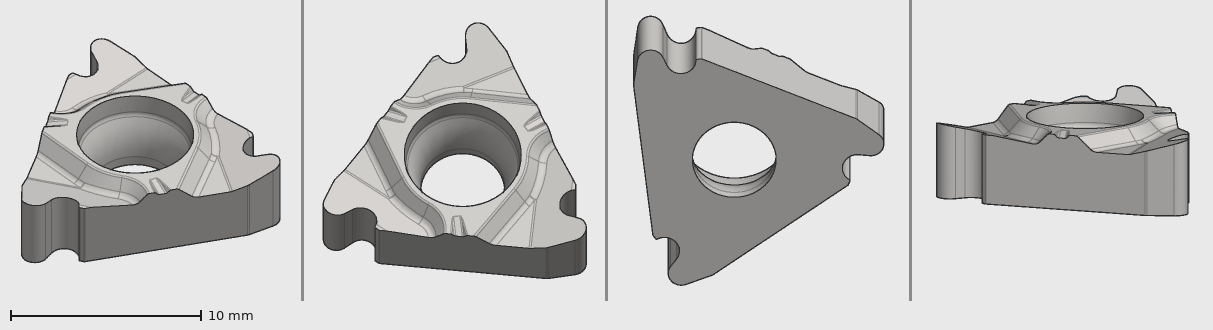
import cadquery as cq
import math

tooth_turns = (0, 120, 240)
height = 4.02
inner_radius = 4.76
reach = 11.13

tip_center = (-3.7, -6.2)
tip_radius = 0.7
flank_angle = 15.0
flank_round = 0.42
notch_center = (-2.11, -6.13)
notch_radius = 0.79
land_y = -6.08
land_round = 0.07
land_clearance = 0.42

floor_z = 3.21
crease_y = -4.03
rake_angle = 15.2
floor_overlap = 0.14
crease_round = 0.42
land_z = 3.71
wall_angle = 44.0
wall_arc_radius = 3.42
wall_arc_start = 239.0
wall_arc_end = 274.5
wall_turn_radius = 1.75
wall_turn_sweep = 80.0
wall_foot_round = 0.45
wall_top_round = 0.17

hole_radius = 4.4 / 2
bore_radius = 3.07
bore_end_radius = 2.98
bore_depth = 1.02
seat_radius = 2.9
seat_depth = 1.28
seat_curve = 3.75

groove_mouth_y = -0.29
groove_angle = 12.0
groove_depth = 0.18
groove_length = 1.11
groove_floor_width = 0.45
groove_top_width = 0.8
groove_floor_round = 0.14
groove_rim_round = 0.1
groove_overrun = 0.28


def polar(center, radius, degrees):
    angle = math.radians(degrees)
    return (center[0] + radius * math.cos(angle), center[1] + radius * math.sin(angle))


def turned(point, degrees):
    return polar((0, 0), math.hypot(*point), math.degrees(math.atan2(point[1], point[0])) + degrees)


def around(solid):
    """The solid and its two turned copies, as a list."""
    return [solid.rotate((0, 0, 0), (0, 0, 1), turn) for turn in tooth_turns]


flank_end = polar(tip_center, tip_radius, 180 + flank_angle)
flank_run = flank_end[0] + inner_radius
flank_start = (-inner_radius, flank_end[1] + flank_run / math.tan(math.radians(flank_angle)))

center_gap = math.dist(tip_center, notch_center)
center_line = math.degrees(math.atan2(notch_center[1] - tip_center[1], notch_center[0] - tip_center[0]))
tip_end_angle = center_line - math.degrees(math.acos((tip_radius + notch_radius) / center_gap))
tip_end = polar(tip_center, tip_radius, tip_end_angle)
tip_middle = polar(tip_center, tip_radius, (tip_end_angle - 180 + flank_angle) / 2)

notch_start_angle = tip_end_angle + 180
notch_end_angle = math.degrees(math.asin((land_y - notch_center[1]) / notch_radius))
notch_start = polar(notch_center, notch_radius, notch_start_angle)
notch_middle = polar(notch_center, notch_radius, (notch_start_angle + notch_end_angle) / 2)
notch_end = polar(notch_center, notch_radius, notch_end_angle)
land_end = (2 * inner_radius + math.sqrt(3) * land_y, land_y)


def make_blank():
    outline = cq.Workplane("XY").moveTo(*flank_start)
    for turn in tooth_turns:
        if turn:
            outline = outline.lineTo(*turned(flank_start, turn))
        outline = outline.lineTo(*turned(flank_end, turn))
        outline = outline.threePointArc(turned(tip_middle, turn), turned(tip_end, turn))
        outline = outline.lineTo(*turned(notch_start, turn))
        outline = outline.threePointArc(turned(notch_middle, turn), turned(notch_end, turn))
        outline = outline.lineTo(*turned(land_end, turn))
    blank = outline.close().extrude(height)
    for corner, radius in ((flank_start, flank_round), (notch_end, land_round), (land_end, land_round)):
        for turn in tooth_turns:
            middle = (*turned(corner, turn), height / 2)
            blank = blank.edges(cq.selectors.NearestToPointSelector(middle)).fillet(radius)
    return blank


def make_chip_cutter():
    """The material removed above one tooth, outside the sloping plateau wall."""
    arc_start = polar((0, 0), wall_arc_radius, wall_arc_start)
    arc_middle = polar((0, 0), wall_arc_radius, (wall_arc_start + wall_arc_end) / 2)
    arc_end = polar((0, 0), wall_arc_radius, wall_arc_end)
    turn_center = polar((0, 0), wall_arc_radius + wall_turn_radius, wall_arc_end)
    turn_start_angle = wall_arc_end - 180
    turn_end_angle = turn_start_angle - wall_turn_sweep
    turn_middle = polar(turn_center, wall_turn_radius, (turn_start_angle + turn_end_angle) / 2)
    turn_end = polar(turn_center, wall_turn_radius, turn_end_angle)
    walled = (
        cq.Workplane("XY", origin=(0, 0, height))
        .moveTo(*polar(arc_start, reach, wall_arc_start - 90))
        .lineTo(*arc_start)
        .threePointArc(arc_middle, arc_end)
        .threePointArc(turn_middle, turn_end)
        .lineTo(*polar(turn_end, reach, turn_end_angle - 90))
        .lineTo(-reach, -2 * reach)
        .close()
        .extrude(floor_z - height - floor_overlap, taper=wall_angle)
    )
    far_rake_z = floor_z + (reach + crease_y) * math.tan(math.radians(rake_angle))
    above_face = (
        cq.Workplane("YZ", origin=(-reach, 0, 0))
        .polyline([
            (0, floor_z),
            (crease_y, floor_z),
            (-reach, far_rake_z),
            (-reach, 2 * height),
            (0, 2 * height),
        ])
        .close()
        .extrude(2 * reach)
        .edges(cq.selectors.NearestToPointSelector((0, crease_y, floor_z)))
        .fillet(crease_round)
    )
    foot_radius = wall_arc_radius + (height - floor_z) / math.tan(math.radians(wall_angle))
    foot_point = (*polar((0, 0), foot_radius, wall_arc_start), floor_z)
    wall_foot = cq.selectors.NearestToPointSelector(foot_point)
    return walled.intersect(above_face).edges(wall_foot).fillet(wall_foot_round)


def make_land_cutter():
    """Levels the sharp corner between the notch and the neighbouring straight side."""
    length = land_end[0] - notch_center[0] + land_clearance
    return (
        cq.Workplane("XY")
        .box(length, 2 * land_clearance, height, centered=(False, True, False))
        .translate((notch_center[0], land_y, land_z))
    )


def make_groove_cutter():
    """A trapezoidal groove whose floor rises to the plateau at its inner end."""
    slope = math.atan2(groove_depth, groove_length)
    heading = math.radians(groove_angle)
    along = cq.Vector(math.cos(heading), math.sin(heading), math.tan(slope))
    across = cq.Vector(-math.sin(heading), math.cos(heading), 0)
    mouth = cq.Vector(-inner_radius, groove_mouth_y, height - groove_depth)
    section = cq.Plane(origin=mouth - along * groove_overrun, xDir=across, normal=along)
    side_slope = (groove_top_width - groove_floor_width) / 2 / groove_depth
    section_height = 2 * groove_depth
    half_floor = groove_floor_width / 2
    half_top = half_floor + side_slope * section_height
    return (
        cq.Workplane(section)
        .polyline([
            (-half_floor, 0),
            (half_floor, 0),
            (half_top, section_height),
            (-half_top, section_height),
        ])
        .close()
        .extrude(groove_length + 2 * groove_overrun)
        .edges(cq.selectors.ParallelDirSelector(along))
        .edges("<Z")
        .fillet(groove_floor_round)
    )


def make_hole_cutter():
    seat_angle = math.acos(1 - (seat_radius - hole_radius) / seat_curve)
    throat_depth = seat_depth + seat_curve * math.sin(seat_angle)
    half_angle = seat_angle / 2
    seat_middle = (
        hole_radius + seat_curve * (1 - math.cos(half_angle)),
        height - throat_depth + seat_curve * math.sin(half_angle),
    )
    return (
        cq.Workplane("XZ")
        .moveTo(0, 0)
        .lineTo(hole_radius, 0)
        .lineTo(hole_radius, height - throat_depth)
        .threePointArc(seat_middle, (seat_radius, height - seat_depth))
        .tangentArcPoint((bore_end_radius, height - bore_depth), relative=False)
        .lineTo(bore_radius, height)
        .lineTo(0, height)
        .close()
        .revolve(360, (0, 0), (0, 1))
    )


def is_wall_top(edge):
    """True for plateau edges that do not lie on the straight sides."""
    center = edge.Center()
    return math.hypot(center.x, center.y) < 0.9 * inner_radius


def is_groove_rim(edge):
    """True for the long edges of any of the three grooves in the plateau."""
    center = edge.Center()
    for turn in tooth_turns:
        x, y = turned((center.x, center.y), -turn)
        inset = x + inner_radius
        inside_length = 0.1 * groove_length < inset < 0.9 * groove_length
        if inside_length and abs(y - groove_mouth_y) < 0.7 * groove_top_width:
            return True
    return False


result = make_blank()
for cutter in around(make_chip_cutter()):
    result = result.cut(cutter)
result = result.faces(">Z").edges().filter(is_wall_top).fillet(wall_top_round)
for cutter in around(make_land_cutter()) + around(make_groove_cutter()):
    result = result.cut(cutter)
result = result.faces(">Z").edges().filter(is_groove_rim).fillet(groove_rim_round)
result = result.cut(make_hole_cutter())